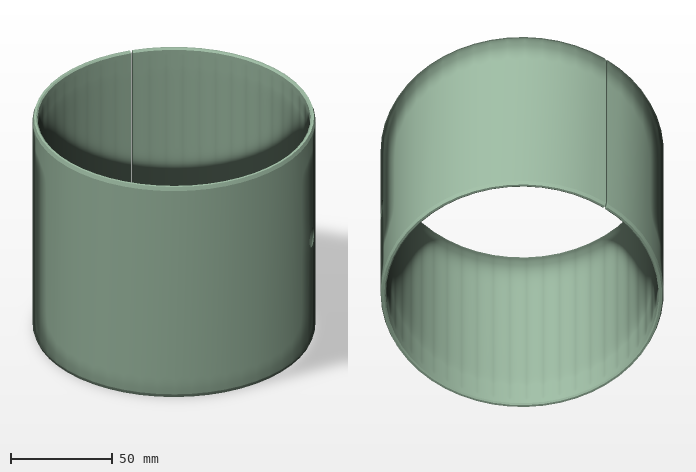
import cadquery as cq

outer_diameter = 140.0
height = 120.0
wall = 2.5
chamfer_width = 0.7
outer_chamfer_height = 2.0
inner_chamfer_height = 0.7
slit_angle = 1.0
slit_end = 180.0
hole_diameter = 10.0
hole_from_slit = 120.0

slit_start = slit_end - slit_angle
hole_angle = slit_start - hole_from_slit
sleeve_angle = 360.0 - slit_angle
outer_radius = outer_diameter / 2
inner_radius = outer_radius - wall
half_height = height / 2


def make_sleeve():
    """Revolve the chamfered wall section, leaving a narrow slit on the -X side."""
    inner_rim = inner_radius + chamfer_width
    outer_rim = outer_radius - chamfer_width
    inner_shoulder = half_height - inner_chamfer_height
    outer_shoulder = half_height - outer_chamfer_height
    section = cq.Workplane("XZ").polyline([
        (inner_radius, -inner_shoulder),
        (inner_rim, -half_height),
        (outer_rim, -half_height),
        (outer_radius, -outer_shoulder),
        (outer_radius, outer_shoulder),
        (outer_rim, half_height),
        (inner_rim, half_height),
        (inner_radius, inner_shoulder),
    ]).close()
    sleeve = section.revolve(sleeve_angle, (0, 0), (0, 1))
    return sleeve.rotate((0, 0, 0), (0, 0, 1), slit_end)


def make_hole():
    """Radial hole through one wall at mid-height."""
    drill = cq.Workplane("YZ").circle(hole_diameter / 2).extrude(outer_diameter)
    return drill.rotate((0, 0, 0), (0, 0, 1), hole_angle)


result = make_sleeve().cut(make_hole())